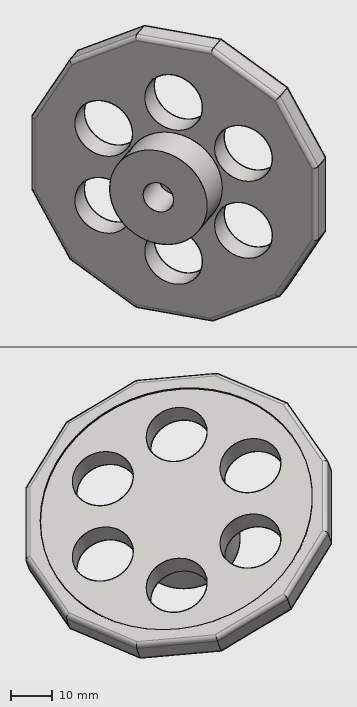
import cadquery as cq
import math

side_count = 12
across_flats = 74.55
plate_thickness = 7.0
rim_radius = 1.2

recess_depth = 0.5
recess_rim_width = 3.7
recess_radius = across_flats / 2 - recess_rim_width

total_depth = 17.15
hub_diameter = 25.4
hub_height = total_depth - plate_thickness
bore_diameter = 7.9
bore_depth = hub_height

hole_count = 6
hole_diameter = 15.0
hole_circle_radius = 21.0


def make_plate():
    """Dodecagon from Y = 0 back to +Y, flats facing X and Z, both rims rounded."""
    across_corners = across_flats / math.cos(math.pi / side_count)
    half_side_angle = 180 / side_count
    plate = (
        cq.Workplane("XZ")
        .transformed(rotate=(0, 0, half_side_angle))
        .polygon(side_count, across_corners)
        .extrude(-plate_thickness)
    )
    return plate.faces("<Y or >Y").edges().fillet(rim_radius)


def make_hub():
    """Round hub from the plate's front face toward -Y."""
    return cq.Workplane("XZ").circle(hub_diameter / 2).extrude(hub_height)


def make_bore():
    """Blind bore, entering at the hub's front face."""
    return (
        cq.Workplane("XZ", origin=(0, -hub_height, 0))
        .circle(bore_diameter / 2)
        .extrude(-bore_depth)
    )


def make_holes():
    """Evenly spaced through holes, the first one straight above the axis."""
    return (
        cq.Workplane("XZ")
        .polarArray(hole_circle_radius, 90, 360, hole_count)
        .circle(hole_diameter / 2)
        .extrude(-plate_thickness)
    )


def make_recess():
    """Shallow disc reaching in from the plate's +Y face."""
    return (
        cq.Workplane("XZ", origin=(0, plate_thickness, 0))
        .circle(recess_radius)
        .extrude(recess_depth)
    )


body = make_plate().union(make_hub())
result = body.cut(make_recess()).cut(make_bore()).cut(make_holes())